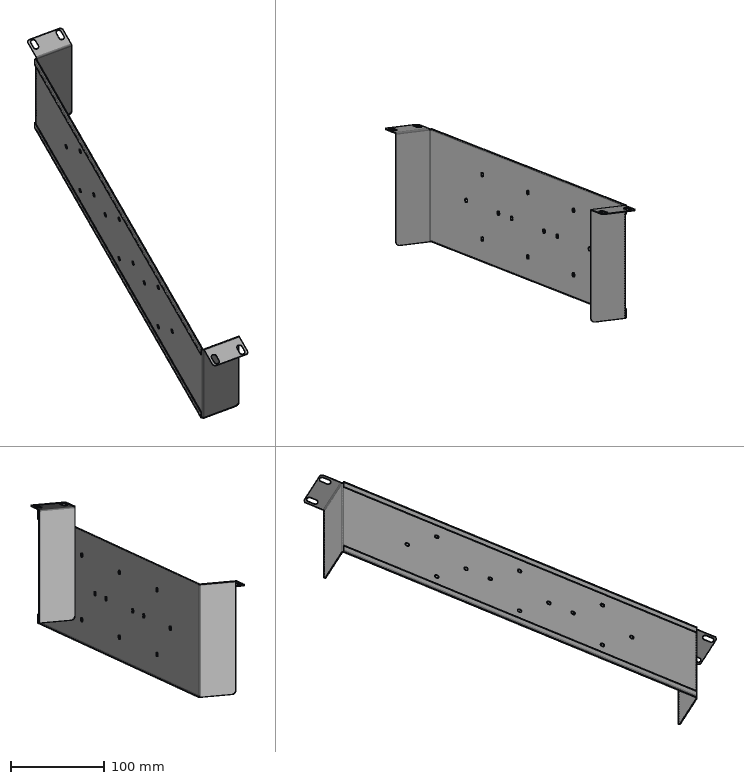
import cadquery as cq

total_width = 479.5
total_depth = 44.5
total_height = 124.5

sheet = 1.0
inner_bend_radius = 0.5
outer_bend_radius = inner_bend_radius + sheet

body_width = 429.5
hem_height = 10.0
hem_gap = 0.5
side_corner_radius = 5.0

ear_corner_radius = 3.5
slot_length = 13.0
slot_width = 5.8
slot_pitch = 30.0
slot_edge_distance = 8.0

hole_diameter = 5.0
group_pitch = 100.0
diamond_radius = 35.5
hole_center_z = 61.0

half_width = total_width / 2
half_body = body_width / 2
flat_half_width = half_body - outer_bend_radius
plate_front = sheet + hem_gap
plate_back = plate_front + sheet
hem_outer_radius = plate_back / 2
hem_inner_radius = hem_gap / 2
side_flat_front = plate_front + outer_bend_radius
ear_depth = total_depth - side_flat_front


def make_hemmed_plate():
    """Front plate whose top and bottom edges are folded back over its front face."""
    low_fold_z = hem_outer_radius
    high_fold_z = total_height - hem_outer_radius
    profile = (
        cq.Workplane("YZ", origin=(-flat_half_width, 0, 0))
        .moveTo(plate_back, low_fold_z)
        .lineTo(plate_back, high_fold_z)
        .threePointArc((hem_outer_radius, total_height), (0, high_fold_z))
        .lineTo(0, total_height - hem_height)
        .lineTo(sheet, total_height - hem_height)
        .lineTo(sheet, high_fold_z)
        .threePointArc((hem_outer_radius, high_fold_z + hem_inner_radius), (plate_front, high_fold_z))
        .lineTo(plate_front, low_fold_z)
        .threePointArc((hem_outer_radius, low_fold_z - hem_inner_radius), (sheet, low_fold_z))
        .lineTo(sheet, hem_height)
        .lineTo(0, hem_height)
        .lineTo(0, low_fold_z)
        .threePointArc((hem_outer_radius, 0), (plate_back, low_fold_z))
        .close()
    )
    return profile.extrude(2 * flat_half_width)


def make_side():
    """Right-hand side panel with the bend that joins it to the plate."""
    height = total_height - outer_bend_radius
    panel = (
        cq.Workplane("XY")
        .moveTo(flat_half_width, plate_front)
        .radiusArc((half_body, side_flat_front), -outer_bend_radius)
        .lineTo(half_body, total_depth)
        .lineTo(half_body - sheet, total_depth)
        .lineTo(half_body - sheet, side_flat_front)
        .radiusArc((flat_half_width, plate_back), inner_bend_radius)
        .close()
        .extrude(height)
    )
    return panel.edges("|X and >Y and <Z").fillet(side_corner_radius)


def make_ear():
    """Right-hand slotted ear with the bend that turns it outward from the side panel."""
    inner_face = half_body - sheet
    bend_bottom = total_height - outer_bend_radius
    ear = (
        cq.Workplane("XZ", origin=(0, side_flat_front, 0))
        .moveTo(inner_face, bend_bottom)
        .radiusArc((inner_face + outer_bend_radius, total_height), outer_bend_radius)
        .lineTo(half_width, total_height)
        .lineTo(half_width, total_height - sheet)
        .lineTo(half_body + inner_bend_radius, total_height - sheet)
        .radiusArc((half_body, bend_bottom), -inner_bend_radius)
        .close()
        .extrude(-ear_depth)
    )
    ear = ear.edges("|Z and >X").fillet(ear_corner_radius)
    slots = (
        cq.Workplane("XY", origin=(half_width - slot_edge_distance, side_flat_front + ear_depth / 2, 0))
        .rarray(5, slot_pitch, 1, 2)
        .slot2D(slot_length, slot_width)
        .extrude(total_height)
    )
    return ear.cut(slots)


def make_holes():
    """Cutters for the screw holes through the plate."""
    centers = []
    for group_x in (-group_pitch, 0, group_pitch):
        for step_x, step_z in ((1, 0), (-1, 0), (0, 1), (0, -1)):
            centers.append((group_x + step_x * diamond_radius, step_z * diamond_radius))
    return (
        cq.Workplane("XZ", origin=(0, 0, hole_center_z))
        .pushPoints(centers)
        .circle(hole_diameter / 2)
        .extrude(-total_depth)
    )


right_side = make_side().union(make_ear())
left_side = right_side.mirror("YZ")
result = make_hemmed_plate().union(right_side).union(left_side).cut(make_holes())